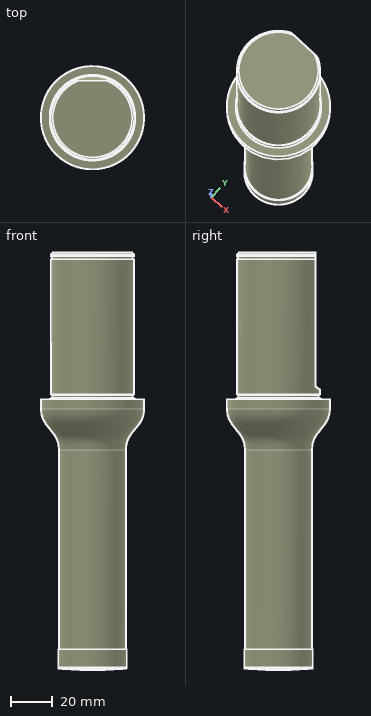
import cadquery as cq

TOTAL_LENGTH = 200.0

TIP_DIAMETER = 33.0
TIP_BOTTOM_DIAMETER = 32.5
TIP_POINT_DIAMETER = 11.5
TIP_POINT_HEIGHT = 0.5
TIP_CHAMFER_HEIGHT = 0.5
TIP_TOP_Z = 10.0

TUBE_DIAMETER = 32.2
FLARE_MIDDLE_DIAMETER = 42.0
FLARE_MIDDLE_Z = 116.0
FLARE_BOTTOM_Z = 105.5
COLLAR_DIAMETER = 49.5
COLLAR_BOTTOM_Z = 125.2
COLLAR_TOP_Z = 129.8
NECK_DIAMETER = 38.8
NECK_FOOT_DIAMETER = 41.2
NECK_FOOT_HEIGHT = 0.5
SHANK_BOTTOM_Z = 131.5
SHANK_CHAMFER_HEIGHT = 0.5
SHANK_DIAMETER = 40.0

RIM_DIAMETER = 40.0
TOP_FACE_DIAMETER = 38.0
RIM_CHAMFER_HEIGHT = 1.0
RIM_HEIGHT = 1.8
GROOVE_DIAMETER = 38.8
GROOVE_HEIGHT = 1.5

FLAT_OFFSET = 17.8
FLAT_BOTTOM_Z = 135.8
FLAT_RUNOUT_HEIGHT = 1.5


def make_tip():
    """Cylindrical tip with a chamfered edge and a very shallow conical underside."""
    profile = (
        cq.Workplane("XZ")
        .lineTo(TIP_POINT_DIAMETER / 2, 0)
        .lineTo(TIP_BOTTOM_DIAMETER / 2, TIP_POINT_HEIGHT)
        .lineTo(TIP_DIAMETER / 2, TIP_POINT_HEIGHT + TIP_CHAMFER_HEIGHT)
        .lineTo(TIP_DIAMETER / 2, TIP_TOP_Z)
        .lineTo(0, TIP_TOP_Z)
        .close()
    )
    return profile.revolve(360, (0, 0), (0, 1))


def make_holder_blank():
    """Turned holder; an S-curve flares it out to the collar."""
    tube_radius = TUBE_DIAMETER / 2
    collar_radius = COLLAR_DIAMETER / 2
    flare_points = [
        (FLARE_MIDDLE_DIAMETER / 2, FLARE_MIDDLE_Z),
        (collar_radius, COLLAR_BOTTOM_Z),
    ]
    rim_bottom_z = TOTAL_LENGTH - RIM_HEIGHT
    profile = (
        cq.Workplane("XZ")
        .moveTo(0, TIP_TOP_Z)
        .lineTo(tube_radius, TIP_TOP_Z)
        .lineTo(tube_radius, FLARE_BOTTOM_Z)
        .spline(flare_points, tangents=[(0, 1), (0, 1)], includeCurrent=True)
        .lineTo(collar_radius, COLLAR_TOP_Z)
        .lineTo(NECK_FOOT_DIAMETER / 2, COLLAR_TOP_Z)
        .lineTo(NECK_DIAMETER / 2, COLLAR_TOP_Z + NECK_FOOT_HEIGHT)
        .lineTo(NECK_DIAMETER / 2, SHANK_BOTTOM_Z)
        .lineTo(SHANK_DIAMETER / 2, SHANK_BOTTOM_Z + SHANK_CHAMFER_HEIGHT)
        .lineTo(SHANK_DIAMETER / 2, rim_bottom_z - GROOVE_HEIGHT)
        .lineTo(GROOVE_DIAMETER / 2, rim_bottom_z - GROOVE_HEIGHT)
        .lineTo(GROOVE_DIAMETER / 2, rim_bottom_z)
        .lineTo(RIM_DIAMETER / 2, rim_bottom_z)
        .lineTo(RIM_DIAMETER / 2, TOTAL_LENGTH - RIM_CHAMFER_HEIGHT)
        .lineTo(TOP_FACE_DIAMETER / 2, TOTAL_LENGTH)
        .lineTo(0, TOTAL_LENGTH)
        .close()
    )
    return profile.revolve(360, (0, 0), (0, 1))


def make_flat_cutter():
    """Prism that cuts the shank flat and its sloping lower run-out."""
    shank_radius = SHANK_DIAMETER / 2
    return (
        cq.Workplane("YZ")
        .moveTo(FLAT_OFFSET, TOTAL_LENGTH)
        .lineTo(FLAT_OFFSET, FLAT_BOTTOM_Z)
        .lineTo(shank_radius, FLAT_BOTTOM_Z - FLAT_RUNOUT_HEIGHT)
        .lineTo(shank_radius, TOTAL_LENGTH)
        .close()
        .extrude(shank_radius, both=True)
    )


tip = make_tip()
holder = make_holder_blank().cut(make_flat_cutter())

result = cq.Compound.makeCompound([tip.val(), holder.val()])